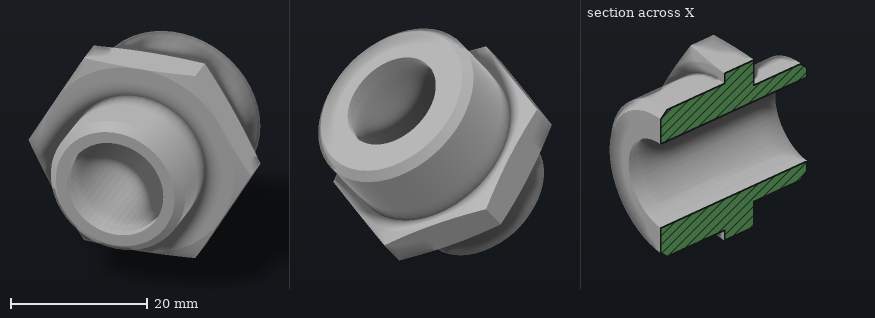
import cadquery as cq
import math

corner_width = 34.65
corner_radius = corner_width / 2
flat_radius = corner_radius * math.cos(math.radians(30))
hex_thickness = 5.5
hex_chamfer_angle = 15.0
hex_chamfer_depth = (corner_radius - flat_radius) * math.tan(math.radians(hex_chamfer_angle))

small_diameter = 20.95
small_length = 10.0
large_diameter = 26.43
large_length = 12.0
end_chamfer = 1.2
bore_diameter = 15.0


def cylinder_along_y(diameter, start, length):
    """Solid cylinder running in +Y from the given start position."""
    base = cq.Workplane("XZ", origin=(0, start, 0))
    return base.circle(diameter / 2).extrude(-length)


def chamfered_hexagon():
    """Hexagon with corners on X, its corners cut by a cone on both faces."""
    prism = cq.Workplane("XZ").polygon(6, corner_width).extrude(-hex_thickness)
    corner_envelope = (
        cq.Workplane("XY")
        .moveTo(0, 0)
        .lineTo(flat_radius, 0)
        .lineTo(corner_radius, hex_chamfer_depth)
        .lineTo(corner_radius, hex_thickness - hex_chamfer_depth)
        .lineTo(flat_radius, hex_thickness)
        .lineTo(0, hex_thickness)
        .close()
        .revolve(360, (0, 0, 0), (0, 1, 0))
    )
    return prism.intersect(corner_envelope)


small_spigot = cylinder_along_y(small_diameter, -small_length, small_length)
small_spigot = small_spigot.faces("<Y").chamfer(end_chamfer)

large_spigot = cylinder_along_y(large_diameter, hex_thickness, large_length)
large_spigot = large_spigot.faces(">Y").chamfer(end_chamfer)

total_length = small_length + hex_thickness + large_length
bore = cylinder_along_y(bore_diameter, -small_length, total_length)

result = chamfered_hexagon().union(small_spigot).union(large_spigot).cut(bore)